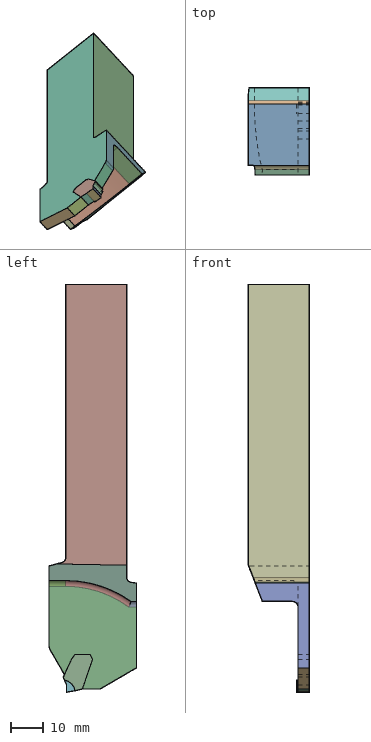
import cadquery as cq
import math

total_height = 127.0
shank_size = 19.0

front_y = -3.0
back_y = front_y + 27.3
front_shoulder_slope = 8.0
back_shoulder_slope = 15.0
front_shoulder_z = 34.0
back_shoulder_z = 39.4
shoulder_fillet = 1.5

floor_z = 1.0
floor_front_y = 8.3
front_bevel_z = 7.6
back_bevel_z = 13.8
back_bevel_angle = 30.0
back_corner_radius = 3.2
blade_thickness = 3.5

ledge_back_z = 34.8
ledge_radius = 34.9
ledge_arc_back_y = 19.0
ledge_arc_front_y = -1.3
ledge_fillet = 1.8

relief_top_z = 40.0
relief_bottom_z = 28.3
relief_depth = 4.6
relief_turn = -0.4

tip_proud = 0.4
tip_land_corner = (19.4, 3.8)
tip_land_middle = (17.0, 2.4)
tip_land_end = (16.1, 0.45)
cutting_corner = (18.8, 0.0)
tip_side = (18.8, 2.3)
insert_outline = [
    cutting_corner,
    tip_side,
    tip_land_corner,
    (19.8, 4.7),
    (17.1, 10.4),
    (16.1, 11.8),
    (11.4, 11.8),
    (10.7, 10.3),
    (13.8, floor_z),
    tip_land_end,
]

blade_face_x = shank_size - blade_thickness


def make_holder_blank():
    """Full-width side outline of the shank, both shoulders and the blade tip."""
    front_slope = math.tan(math.radians(front_shoulder_slope))
    back_slope = math.tan(math.radians(back_shoulder_slope))
    bevel_run = (back_bevel_z - floor_z) * math.tan(math.radians(back_bevel_angle))
    outline = [
        (0, total_height),
        (0, front_shoulder_z - front_y * front_slope),
        (front_y, front_shoulder_z),
        (front_y, front_bevel_z),
        (floor_front_y, floor_z),
        (back_y - bevel_run, floor_z),
        (back_y, back_bevel_z),
        (back_y, back_shoulder_z),
        (shank_size, back_shoulder_z + (back_y - shank_size) * back_slope),
        (shank_size, total_height),
    ]
    blank = cq.Workplane("YZ").polyline(outline).close().extrude(shank_size)

    def edge_at(point):
        return cq.selectors.NearestToPointSelector((shank_size / 2, *point))

    front_root, back_root, back_corner = outline[1], outline[8], outline[6]
    blank = blank.edges(edge_at(front_root)).fillet(shoulder_fillet)
    blank = blank.edges(edge_at(back_root)).fillet(shoulder_fillet)
    return blank.edges(edge_at(back_corner)).fillet(back_corner_radius)


def make_clearance():
    """Space beside the blade, under the arched ledge, with a rounded root."""
    center_z = ledge_back_z - ledge_radius

    def arc_z(y):
        return center_z + math.sqrt(ledge_radius**2 - (y - ledge_arc_back_y) ** 2)

    middle_y = (ledge_arc_back_y + ledge_arc_front_y) / 2
    margin = 6.4
    ledge_front_z = arc_z(ledge_arc_front_y)
    clearance = (
        cq.Workplane("YZ", origin=(-margin, 0, 0))
        .moveTo(back_y + margin, -margin)
        .lineTo(back_y + margin, ledge_back_z)
        .lineTo(ledge_arc_back_y, ledge_back_z)
        .threePointArc((middle_y, arc_z(middle_y)), (ledge_arc_front_y, ledge_front_z))
        .lineTo(front_y - margin, ledge_front_z)
        .lineTo(front_y - margin, -margin)
        .close()
        .extrude(margin + blade_face_x)
    )
    reach = 0.1
    root = cq.selectors.BoxSelector(
        (blade_face_x - reach, front_y - margin, ledge_front_z - reach),
        (blade_face_x + reach, back_y + margin, ledge_back_z + reach),
    )
    return clearance.edges(root).fillet(ledge_fillet)


def make_relief():
    """Wedge that slopes the -X side of the head inwards towards the blade."""
    overrun = 1.3
    extra_height = overrun * (relief_top_z - relief_bottom_z) / relief_depth
    wedge = [
        (-overrun, relief_top_z + extra_height),
        (relief_depth, relief_bottom_z),
        (relief_depth, relief_bottom_z - overrun),
        (-overrun, relief_bottom_z - overrun),
    ]
    relief = (
        cq.Workplane("XZ", origin=(0, back_y + overrun, 0))
        .polyline(wedge)
        .close()
        .extrude(back_y - front_y + 2 * overrun)
    )
    return relief.rotate((0, back_y, 0), (0, back_y, 1), relief_turn)


def make_insert():
    """Cutting insert through the blade, with a slightly raised land at its tip."""
    body = cq.Workplane("YZ", origin=(blade_face_x, 0, 0)).polyline(insert_outline).close()
    body = body.extrude(blade_thickness)
    land = (
        cq.Workplane("YZ", origin=(blade_face_x - tip_proud, 0, 0))
        .moveTo(*cutting_corner)
        .lineTo(*tip_side)
        .lineTo(*tip_land_corner)
        .threePointArc(tip_land_middle, tip_land_end)
        .close()
        .extrude(tip_proud + blade_thickness / 2)
    )
    return body.union(land)


def make_holder(insert):
    """Shank and head in one piece, with a seat for the insert."""
    blank = make_holder_blank()
    return blank.cut(make_clearance()).cut(make_relief()).cut(insert)


insert = make_insert()
holder = make_holder(insert)

result = cq.Compound.makeCompound([holder.solids().val(), insert.solids().val()])